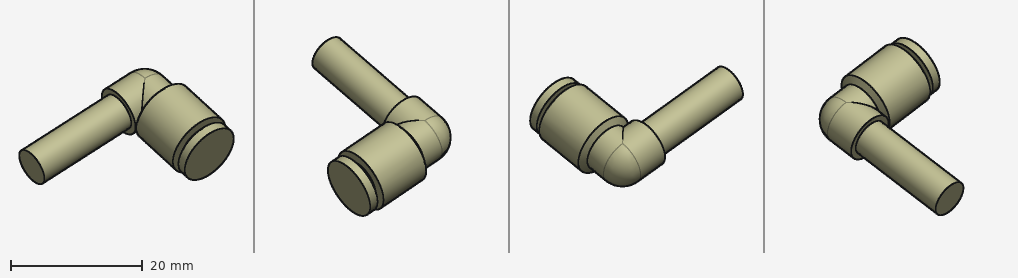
import cadquery as cq

elbow_diameter = 8.0
elbow_leg_end = 5.15

stem_diameter = 6.0
overall_length = 27.5

body_diameter = 10.4
body_start = 3.52
taper_length = 0.72
body_end = 12.9
neck_diameter = 6.8
neck_end = 13.8
collar_diameter = 9.7
overall_width = 19.3

elbow_radius = elbow_diameter / 2
body_radius = body_diameter / 2
neck_radius = neck_diameter / 2
collar_radius = collar_diameter / 2
stem_end = overall_length - body_radius
collar_end = overall_width - elbow_radius


def cylinder_toward_front(diameter, length):
    """Cylinder from the elbow centre toward -Y."""
    return cq.Workplane("XZ").circle(diameter / 2).extrude(length)


def socket_side():
    """Elbow leg, tapered body, neck and collar revolved about the X axis."""
    return (
        cq.Workplane("XY")
        .lineTo(0, elbow_radius)
        .lineTo(body_start, elbow_radius)
        .lineTo(body_start + taper_length, body_radius)
        .lineTo(body_end, body_radius)
        .lineTo(body_end, neck_radius)
        .lineTo(neck_end, neck_radius)
        .lineTo(neck_end, collar_radius)
        .lineTo(collar_end, collar_radius)
        .lineTo(collar_end, 0)
        .close()
        .revolve(360, (0, 0, 0), (1, 0, 0))
    )


ball = cq.Workplane("XY").sphere(elbow_radius)
stem_leg = cylinder_toward_front(elbow_diameter, elbow_leg_end)
stem = cylinder_toward_front(stem_diameter, stem_end)

result = socket_side().union(stem_leg).union(ball).union(stem)